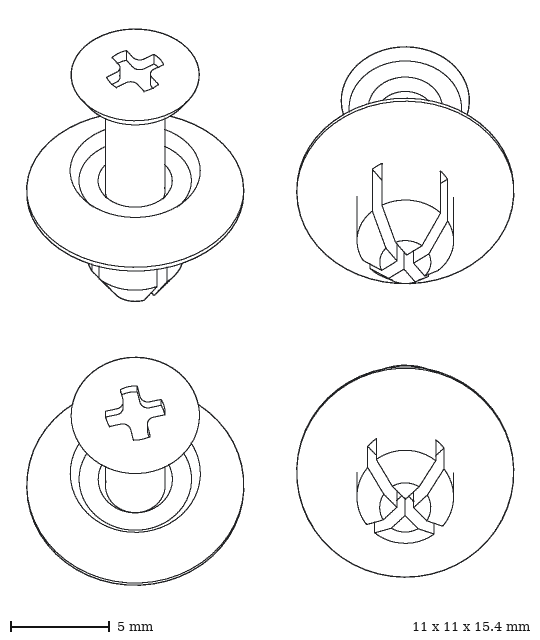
import cadquery as cq
import math

TOTAL_HEIGHT = 15.41
CONE_HEIGHT = 2.0
PIN_END_Z = 4.28
SLOT_TOP_Z = 5.92
FLANGE_BOTTOM_Z = 6.52
RIM_THICKNESS = 0.28
FLANGE_TOP_Z = 8.15

SHAFT_RADIUS = 1.51
NECK_RADIUS = 1.88
NECK_HEIGHT = 0.77
HEAD_SEAT_RADIUS = 2.85
HEAD_RADIUS = 3.25
HEAD_SIDE_HEIGHT = 0.71
HEAD_CROWN = 0.3
HEAD_FLAT_RADIUS = 1.42
END_CHAMFER_HEIGHT = 0.54
END_RADIUS = SHAFT_RADIUS - END_CHAMFER_HEIGHT

CROSS_RADIUS = 1.51
CROSS_ARM_WIDTH = 0.88
CROSS_CORNER_RADIUS = 0.42
CROSS_DEPTH = 0.71

FLANGE_RADIUS = 5.5
RECESS_RADIUS = 3.3
DOME_MID_RADIUS = 4.42
DOME_MID_Z = 7.61
BARREL_RADIUS = 2.45
TIP_RADIUS = 1.3
FLANGE_FILLET = 0.31
SLOT_WIDTH = 0.6

HEAD_EDGE_Z = TOTAL_HEIGHT - HEAD_CROWN
HEAD_SEAT_Z = HEAD_EDGE_Z - HEAD_SIDE_HEIGHT
NECK_BOTTOM_Z = HEAD_SEAT_Z - NECK_HEIGHT
END_CHAMFER_TOP_Z = PIN_END_Z + END_CHAMFER_HEIGHT
RECESS_FLOOR_Z = FLANGE_TOP_Z - HEAD_SIDE_HEIGHT
COUNTERSINK_BOTTOM_Z = RECESS_FLOOR_Z - NECK_HEIGHT
RIM_TOP_Z = FLANGE_BOTTOM_Z + RIM_THICKNESS


def revolve_about_z(profile):
    """Turn a closed (radius, height) profile around the Z axis."""
    return profile.close().revolve(360, (0, 0, 0), (0, 1, 0))


def crown_mid_point():
    """Point halfway out on the spherical crown, whose centre lies on the pin axis."""
    centre_drop = (HEAD_RADIUS**2 - HEAD_FLAT_RADIUS**2 - HEAD_CROWN**2) / (2 * HEAD_CROWN)
    centre_z = HEAD_EDGE_Z - centre_drop
    sphere_radius = math.hypot(HEAD_RADIUS, centre_drop)
    mid_radius = (HEAD_RADIUS + HEAD_FLAT_RADIUS) / 2
    return mid_radius, centre_z + math.sqrt(sphere_radius**2 - mid_radius**2)


def make_driver_recess():
    """Cross with rounded inner corners and arm ends on a circle."""
    floor = cq.Workplane("XY", origin=(0, 0, TOTAL_HEIGHT - CROSS_DEPTH))
    length = 2 * CROSS_RADIUS + CROSS_ARM_WIDTH
    arm_x = floor.rect(length, CROSS_ARM_WIDTH).extrude(CROSS_DEPTH)
    arm_y = floor.rect(CROSS_ARM_WIDTH, length).extrude(CROSS_DEPTH)
    inner_corners = cq.selectors.BoxSelector(
        (-CROSS_ARM_WIDTH, -CROSS_ARM_WIDTH, 0),
        (CROSS_ARM_WIDTH, CROSS_ARM_WIDTH, TOTAL_HEIGHT),
    )
    cross = arm_x.union(arm_y).edges("|Z").edges(inner_corners).fillet(CROSS_CORNER_RADIUS)
    return cross.intersect(floor.circle(CROSS_RADIUS).extrude(CROSS_DEPTH))


def make_pin():
    """Countersunk pin with a stepped head and a chamfered end."""
    profile = (
        cq.Workplane("XZ")
        .moveTo(0, PIN_END_Z)
        .lineTo(END_RADIUS, PIN_END_Z)
        .lineTo(SHAFT_RADIUS, END_CHAMFER_TOP_Z)
        .lineTo(SHAFT_RADIUS, NECK_BOTTOM_Z)
        .lineTo(NECK_RADIUS, HEAD_SEAT_Z)
        .lineTo(HEAD_SEAT_RADIUS, HEAD_SEAT_Z)
        .lineTo(HEAD_RADIUS, HEAD_EDGE_Z)
        .threePointArc(crown_mid_point(), (HEAD_FLAT_RADIUS, TOTAL_HEIGHT))
        .lineTo(0, TOTAL_HEIGHT)
    )
    return revolve_about_z(profile).cut(make_driver_recess())


def make_grommet_blank():
    """Domed flange on a barrel, with a blind bore that fits the end of the pin."""
    fillet_mid = FLANGE_FILLET * (1 - math.sqrt(0.5))
    profile = (
        cq.Workplane("XZ")
        .moveTo(0, 0)
        .lineTo(TIP_RADIUS, 0)
        .lineTo(BARREL_RADIUS, CONE_HEIGHT)
        .lineTo(BARREL_RADIUS, FLANGE_BOTTOM_Z - FLANGE_FILLET)
        .threePointArc(
            (BARREL_RADIUS + fillet_mid, FLANGE_BOTTOM_Z - fillet_mid),
            (BARREL_RADIUS + FLANGE_FILLET, FLANGE_BOTTOM_Z),
        )
        .lineTo(FLANGE_RADIUS, FLANGE_BOTTOM_Z)
        .lineTo(FLANGE_RADIUS, RIM_TOP_Z)
        .threePointArc((DOME_MID_RADIUS, DOME_MID_Z), (RECESS_RADIUS, FLANGE_TOP_Z))
        .lineTo(HEAD_SEAT_RADIUS, RECESS_FLOOR_Z)
        .lineTo(NECK_RADIUS, RECESS_FLOOR_Z)
        .lineTo(SHAFT_RADIUS, COUNTERSINK_BOTTOM_Z)
        .lineTo(SHAFT_RADIUS, END_CHAMFER_TOP_Z)
        .lineTo(END_RADIUS, PIN_END_Z)
        .lineTo(0, PIN_END_Z)
    )
    return revolve_about_z(profile)


def make_grommet():
    """Grommet whose barrel is split into four legs by two crossing slots."""
    grommet = make_grommet_blank()
    slot_length = 2 * FLANGE_RADIUS
    for angle in (0, 90):
        slot = cq.Workplane("XY").rect(slot_length, SLOT_WIDTH).extrude(SLOT_TOP_Z)
        grommet = grommet.cut(slot.rotate((0, 0, 0), (0, 0, 1), angle))
    return grommet


pin = make_pin()
grommet = make_grommet()
result = cq.Compound.makeCompound([pin.val(), grommet.val()])